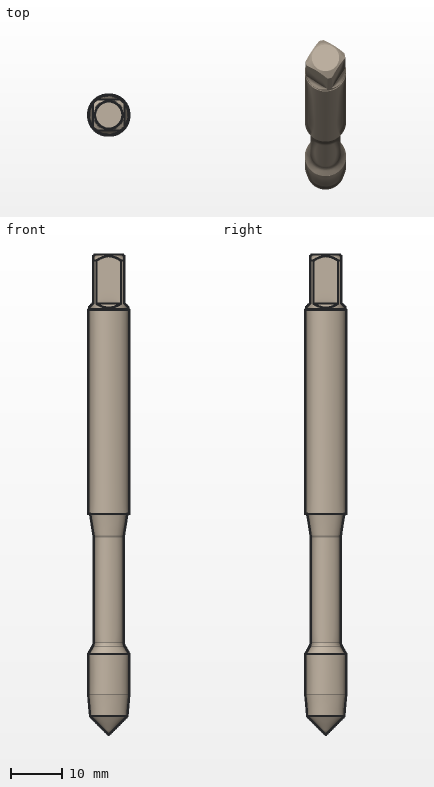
import cadquery as cq
import math

total_length = 93.5
body_radius = 8.0 / 2
neck_radius = 5.9 / 2

point_radius = 3.6
point_height = point_radius
lead_top = 7.85
head_top = 15.7

shoulder_angle = 30.0
shoulder_top = head_top + (body_radius - neck_radius) / math.tan(math.radians(shoulder_angle))
neck_fillet = 1.5
taper_bottom = 38.6
taper_top = 43.0
taper_top_radius = 3.6

drive_radius = 7.8 / 2
drive_across_flats = 6.1
drive_chamfer = 1.2
flat_length = 9.5
runout_depth = 1.4
shank_chamfer = body_radius - drive_radius
shank_top = total_length - 10.7


def make_threaded_head():
    """Plain threaded-size cylinder with a tapered lead and a conical point."""
    return (
        cq.Workplane("XZ")
        .polyline([
            (0, 0),
            (point_radius, point_height),
            (body_radius, lead_top),
            (body_radius, head_top),
            (0, head_top),
        ])
        .close()
        .revolve(360, (0, 0), (0, 1))
    )


def make_flat_cutter():
    """Prism that cuts the +X flat and its sloping runout."""
    half_flats = drive_across_flats / 2
    flat_bottom = total_length - flat_length
    outer = half_flats + runout_depth
    return (
        cq.Workplane("XZ")
        .polyline([
            (half_flats, total_length),
            (half_flats, flat_bottom),
            (outer, flat_bottom - runout_depth),
            (outer, total_length),
        ])
        .close()
        .extrude(body_radius, both=True)
    )


def make_holder():
    """Shoulder, neck, shank and square drive turned as one piece."""
    holder = (
        cq.Workplane("XZ")
        .polyline([
            (0, head_top),
            (body_radius, head_top),
            (neck_radius, shoulder_top),
            (neck_radius, taper_bottom),
            (taper_top_radius, taper_top),
            (body_radius, taper_top),
            (body_radius, shank_top - shank_chamfer),
            (drive_radius, shank_top),
            (drive_radius, total_length - drive_chamfer),
            (drive_radius - drive_chamfer, total_length),
            (0, total_length),
        ])
        .close()
        .revolve(360, (0, 0), (0, 1))
    )
    neck_ends = cq.selectors.BoxSelector(
        (-body_radius, -body_radius, shoulder_top - neck_fillet / 2),
        (body_radius, body_radius, taper_bottom + neck_fillet / 2),
    )
    holder = holder.edges("%CIRCLE").edges(neck_ends).fillet(neck_fillet)
    cutter = make_flat_cutter()
    for angle in (0, 90, 180, 270):
        holder = holder.cut(cutter.rotate((0, 0, 0), (0, 0, 1), angle))
    return holder


threaded_head = make_threaded_head()
holder = make_holder()

result = cq.Compound.makeCompound([threaded_head.val(), holder.val()])